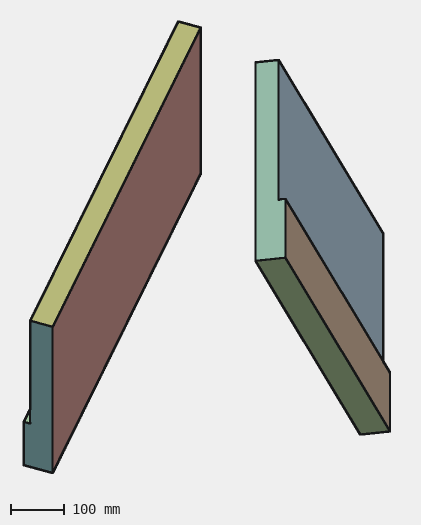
import cadquery as cq

thickness = 57.5
length = 798.5
height = 406.5

band_height = 120.5
band_depth = 13.0

panel = cq.Workplane("XY").box(
    thickness - band_depth, length, height, centered=(False, True, False)
).translate((band_depth, 0, 0))

band = cq.Workplane("XY").box(
    thickness, length, band_height, centered=(False, True, False)
)

result = panel.union(band).clean()